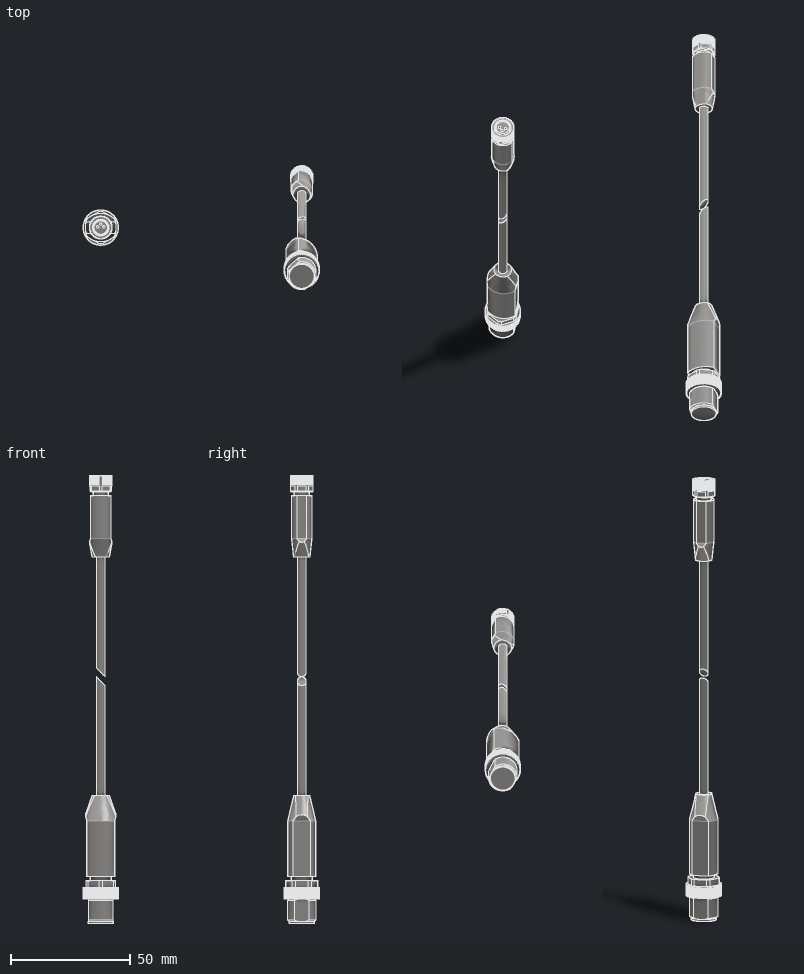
import cadquery as cq
import math

TOTAL_HEIGHT = 187.8
CABLE_DIAMETER = 3.8

UPPER_BREAK_Z = 105.4
LOWER_BREAK_Z = 101.6
BREAK_ANGLE = 45.0

SOCKET_NUT_DIAMETER = 9.5
SOCKET_NUT_FLATS = 8.8
SOCKET_KNURL_HEIGHT = 4.3
SOCKET_HEX_HEIGHT = 2.6
SOCKET_HEX_CHAMFER = 0.4
SOCKET_KNURL_COUNT = 32
SOCKET_KNURL_DEPTH = 0.28
SOCKET_PLAIN_BAND = 0.5
SOCKET_NECK_DIAMETER = 6.4
SOCKET_NECK_HEIGHT = 1.5
SOCKET_MOUTH_DIAMETER = 7.0
SOCKET_MOUTH_DEPTH = 1.0
SOCKET_BORE_DIAMETER = 6.4
SOCKET_BORE_DEPTH = 2.8
INSERT_DIAMETER = 5.6
CONTACT_HOLE_DIAMETER = 1.0
CONTACT_HOLE_DEPTH = 3.8
CONTACT_SIDE_X = 1.3
CONTACT_SIDE_Y = 0.28
CONTACT_TOP_Y = 1.5

PLUG_DIAMETER = 12.0
PLUG_FLATS = 10.3
PLUG_HEIGHT = 10.3
PLUG_TIP_DIAMETER = 10.5
PLUG_TIP_HEIGHT = 1.0
PLUG_CHAMFER = 0.5
PLUG_NUT_DIAMETER = 14.8
PLUG_KNURL_HEIGHT = 4.9
PLUG_KNURL_COUNT = 60
PLUG_KNURL_DEPTH = 0.28
PLUG_PLAIN_BAND = 0.5
PLUG_HEX_DIAMETER = 13.5
PLUG_HEX_FLATS = 12.4
PLUG_HEX_HEIGHT = 2.8
PLUG_NECK_DIAMETER = 8.8
PLUG_NECK_HEIGHT = 1.7

SOCKET_GRIP = dict(width=8.6, flat=4.1, length=17.8, flare_height=1.7, flare=0.47,
                   taper_length=7.9, end_diameter=7.3, end_depth=7.0)
PLUG_GRIP = dict(width=11.8, flat=7.1, length=23.3, flare_height=2.6, flare=0.5,
                 taper_length=10.7, end_diameter=7.3, end_depth=6.8)
END_ARC_RADIUS = 4.7


def cylinder(diameter, bottom, top):
    """Round bar on the Z axis between two heights."""
    return cq.Workplane("XY").workplane(offset=bottom).circle(diameter / 2).extrude(top - bottom)


def hex_nut(diameter, across_flats, bottom, top):
    """Hexagon with flats on +X and -X, its corners rounded to the given diameter."""
    corner_diameter = across_flats / math.cos(math.pi / 6)
    hexagon = (
        cq.Workplane("XY").workplane(offset=bottom)
        .transformed(rotate=(0, 0, 90))
        .polygon(6, corner_diameter)
        .extrude(top - bottom)
    )
    return hexagon.intersect(cylinder(diameter, bottom, top))


def knurled_ring(diameter, depth, count, bottom, top, groove_bottom, groove_top, plain_steps=()):
    """Ring with straight V grooves; the steps listed in plain_steps, counted from -Y, stay smooth."""
    radius = diameter / 2
    ring = cylinder(diameter, bottom, top)
    groove = (
        cq.Workplane("XY").workplane(offset=groove_bottom)
        .polyline([(-2 * depth, -radius - depth), (2 * depth, -radius - depth), (0, -radius + depth)])
        .close()
        .extrude(groove_top - groove_bottom)
    )
    cutters = [
        groove.rotate((0, 0, 0), (0, 0, 1), step * 360 / count).val()
        for step in range(count)
        if step not in plain_steps
    ]
    return ring.cut(cq.Workplane(cq.Compound.makeCompound(cutters)))


def lens(plane, half_depth, arc_radius):
    """Outline of two equal arcs that bulge to -Y and +Y and meet on the X axis."""
    tip = math.sqrt(arc_radius**2 - (arc_radius - half_depth) ** 2)
    return (
        plane.moveTo(-tip, 0)
        .threePointArc((0, -half_depth), (tip, 0))
        .threePointArc((0, half_depth), (-tip, 0))
        .close()
    )


def grip(width, flat, length, flare_height, flare, taper_length, end_diameter, end_depth):
    """Molded grip from Z = 0 upward: bowed front and back, flat sides, tapering to the cable."""
    half = width / 2
    bow = half - flat / 2
    bow_radius = (half**2 + bow**2) / (2 * bow)
    height = length + taper_length

    mouth = half + flare
    slope = (mouth - end_diameter / 2) / (taper_length - flare_height)
    cone_base = mouth + slope * flare_height
    body = (
        cq.Workplane("XZ")
        .polyline([(0, 0), (cone_base, 0), (cone_base, length), (end_diameter / 2, height), (0, height)])
        .close()
        .revolve(360, (0, 0, 0), (0, 1, 0))
    )

    sides = (
        cq.Workplane("XZ")
        .polyline([
            (-half, 0), (half, 0), (half, length), (mouth, length + flare_height), (mouth, height),
            (-mouth, height), (-mouth, length + flare_height), (-half, length),
        ])
        .close()
        .extrude(width, both=True)
    )
    body = body.intersect(sides)

    straight = lens(cq.Workplane("XY"), half, bow_radius).extrude(length)
    narrowing = lens(cq.Workplane("XY").workplane(offset=length), half, bow_radius)
    narrowing = lens(narrowing.workplane(offset=taper_length), end_depth / 2, END_ARC_RADIUS).loft(ruled=True)
    return body.intersect(straight.union(narrowing))


def cable(bottom, top, break_z, keep_above):
    """Cable piece with a slanted cut that falls toward +X."""
    rise = CABLE_DIAMETER * math.tan(math.radians(BREAK_ANGLE))
    far_z = top if keep_above else bottom
    half_space = (
        cq.Workplane("XZ")
        .polyline([
            (-CABLE_DIAMETER, break_z + rise), (CABLE_DIAMETER, break_z - rise),
            (CABLE_DIAMETER, far_z), (-CABLE_DIAMETER, far_z),
        ])
        .close()
        .extrude(CABLE_DIAMETER, both=True)
    )
    return cylinder(CABLE_DIAMETER, bottom, top).intersect(half_space)


def build_socket_half():
    """Upper body: socket, coupling nut, grip and its cable piece."""
    knurl_bottom = TOTAL_HEIGHT - SOCKET_KNURL_HEIGHT
    hex_bottom = knurl_bottom - SOCKET_HEX_HEIGHT
    grip_top = hex_bottom - SOCKET_NECK_HEIGHT
    grip_bottom = grip_top - SOCKET_GRIP["length"] - SOCKET_GRIP["taper_length"]

    ring = knurled_ring(
        SOCKET_NUT_DIAMETER, SOCKET_KNURL_DEPTH, SOCKET_KNURL_COUNT, knurl_bottom, TOTAL_HEIGHT,
        knurl_bottom + SOCKET_PLAIN_BAND, TOTAL_HEIGHT, plain_steps=(0,),
    )
    bore_floor = TOTAL_HEIGHT - SOCKET_BORE_DEPTH
    ring = ring.cut(cylinder(SOCKET_MOUTH_DIAMETER, TOTAL_HEIGHT - SOCKET_MOUTH_DEPTH, TOTAL_HEIGHT))
    ring = ring.cut(cylinder(SOCKET_BORE_DIAMETER, bore_floor, TOTAL_HEIGHT))
    ring = ring.union(cylinder(INSERT_DIAMETER, bore_floor, TOTAL_HEIGHT))

    contacts = (
        cq.Workplane("XY").workplane(offset=TOTAL_HEIGHT)
        .pushPoints([
            (-CONTACT_SIDE_X, CONTACT_SIDE_Y), (CONTACT_SIDE_X, CONTACT_SIDE_Y), (0, CONTACT_TOP_Y),
        ])
        .circle(CONTACT_HOLE_DIAMETER / 2)
        .extrude(-CONTACT_HOLE_DEPTH)
    )
    handle = grip(**SOCKET_GRIP).rotate((0, 0, 0), (1, 0, 0), 180).translate((0, 0, grip_top))
    nut = hex_nut(SOCKET_NUT_DIAMETER, SOCKET_NUT_FLATS, hex_bottom, knurl_bottom)
    nut = nut.faces("<Z").chamfer(SOCKET_HEX_CHAMFER)
    return (
        ring.union(nut)
        .cut(contacts)
        .union(cylinder(SOCKET_NECK_DIAMETER, grip_top, hex_bottom))
        .union(handle)
        .union(cable(UPPER_BREAK_Z - CABLE_DIAMETER, grip_bottom, UPPER_BREAK_Z, True))
    )


def build_plug_half():
    """Lower body: plug, coupling nut, grip and its cable piece."""
    knurl_top = PLUG_HEIGHT + PLUG_KNURL_HEIGHT
    hex_top = knurl_top + PLUG_HEX_HEIGHT
    grip_bottom = hex_top + PLUG_NECK_HEIGHT
    grip_top = grip_bottom + PLUG_GRIP["length"] + PLUG_GRIP["taper_length"]

    sleeve = cylinder(PLUG_DIAMETER, PLUG_TIP_HEIGHT, PLUG_HEIGHT).edges("%CIRCLE").chamfer(PLUG_CHAMFER)
    flats = cq.Workplane("XY").box(PLUG_FLATS, PLUG_NUT_DIAMETER, 2 * PLUG_HEIGHT)
    sleeve = sleeve.intersect(flats).union(cylinder(PLUG_TIP_DIAMETER, 0, PLUG_TIP_HEIGHT))

    ring = knurled_ring(
        PLUG_NUT_DIAMETER, PLUG_KNURL_DEPTH, PLUG_KNURL_COUNT, PLUG_HEIGHT, knurl_top,
        PLUG_HEIGHT, knurl_top - PLUG_PLAIN_BAND,
    ).rotate((0, 0, 0), (0, 0, 1), 180 / PLUG_KNURL_COUNT)
    return (
        sleeve.union(ring)
        .union(hex_nut(PLUG_HEX_DIAMETER, PLUG_HEX_FLATS, knurl_top, hex_top))
        .union(cylinder(PLUG_NECK_DIAMETER, hex_top, grip_bottom))
        .union(grip(**PLUG_GRIP).translate((0, 0, grip_bottom)))
        .union(cable(grip_top, LOWER_BREAK_Z + CABLE_DIAMETER, LOWER_BREAK_Z, False))
    )


socket_half = build_socket_half()
plug_half = build_plug_half()

result = cq.Compound.makeCompound([socket_half.val(), plug_half.val()])